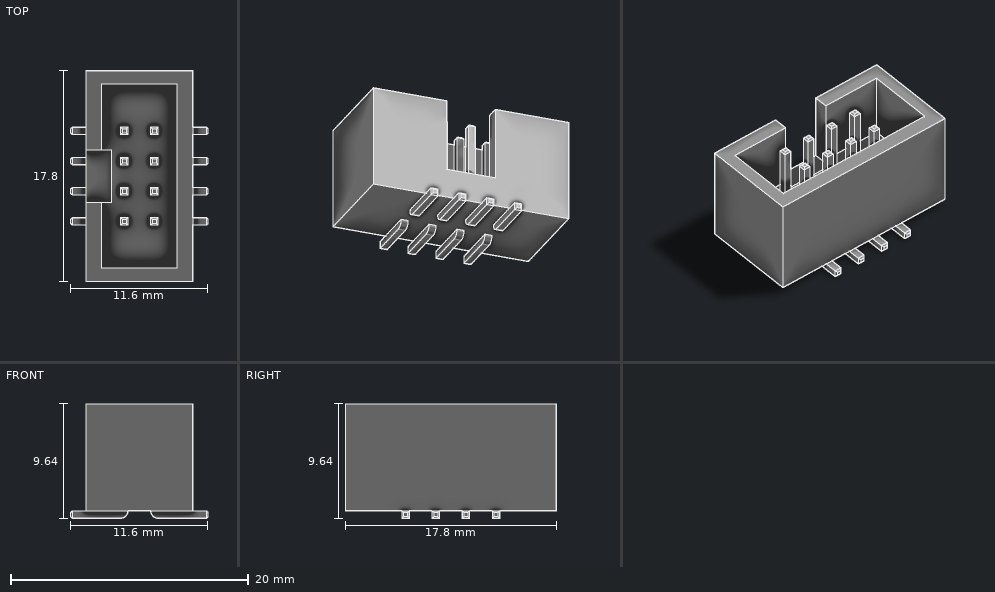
import cadquery as cq

body_x = 9.0
body_y = 17.78
body_z = 9.0
cavity_x = 6.35
cavity_y = 15.5
floor_z = 3.0

key_width = 4.4
key_reach = 2.15
key_floor_z = 2.6

pitch = 2.54
pins_per_row = 4
wire = 0.64
tip_chamfer = 0.15
pin_top_z = 8.7
lead_span = 11.6
bend_radius = wire

seat_z = wire


def make_housing():
    """Rectangular housing with an open-topped cavity and a key slot."""
    housing = cq.Workplane("XY").workplane(offset=seat_z).box(
        body_x, body_y, body_z, centered=(True, True, False)
    )
    cavity = cq.Workplane("XY").workplane(offset=seat_z + floor_z).box(
        cavity_x, cavity_y, body_z - floor_z, centered=(True, True, False)
    )
    key_slot = (
        cq.Workplane("XY")
        .workplane(offset=seat_z + key_floor_z)
        .center(-body_x / 2, 0)
        .box(key_reach, key_width, body_z - key_floor_z, centered=(False, True, False))
    )
    return housing.cut(cavity).cut(key_slot)


def make_contact():
    """L-shaped contact of the +X row: vertical pin, rounded bend and outward lead."""
    inner_x = (pitch - wire) / 2
    outer_x = inner_x + wire
    tip_x = lead_span / 2
    top_z = seat_z + pin_top_z
    contact = (
        cq.Workplane("XZ")
        .moveTo(inner_x + bend_radius, 0)
        .lineTo(tip_x, 0)
        .lineTo(tip_x, wire)
        .lineTo(outer_x, wire)
        .lineTo(outer_x, top_z)
        .lineTo(inner_x, top_z)
        .lineTo(inner_x, bend_radius)
        .radiusArc((inner_x + bend_radius, 0), -bend_radius)
        .close()
        .extrude(wire / 2, both=True)
    )
    contact = contact.faces(">Z").chamfer(tip_chamfer)
    return contact.faces(">X").chamfer(tip_chamfer)


result = make_housing()
right_contact = make_contact()
left_contact = right_contact.mirror("YZ")
for index in range(pins_per_row):
    pin_y = (index - (pins_per_row - 1) / 2) * pitch
    for contact in (left_contact, right_contact):
        result = result.union(contact.translate((0, pin_y, 0)))